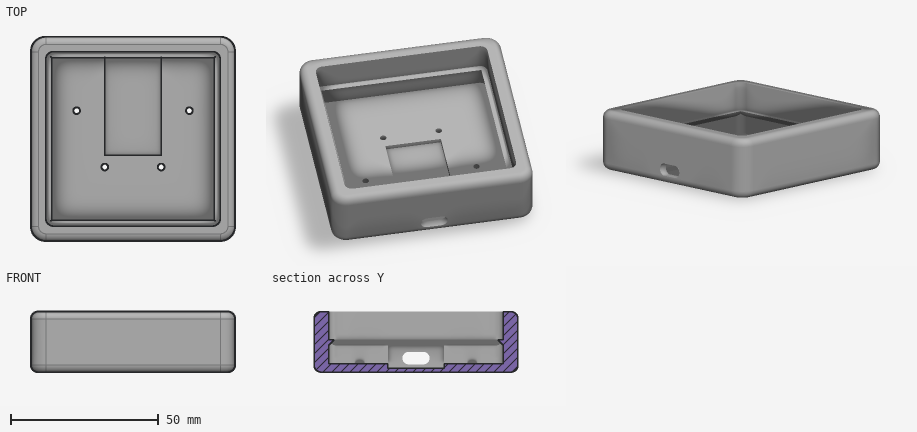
import cadquery as cq

side = 69.1
height = 20.6
corner_radius = 5.08
edge_radius = 2.54

wall = 5.08
cavity_side = side - 2 * wall
cavity_radius = 2.54
floor_z = 3.05

lip_width = 2.0
lip_top_z = 11.1
lip_opening = cavity_side - 2 * lip_width
lip_bottom_z = lip_top_z - lip_width

bay_width = 19.05
bay_floor_z = 1.5
bay_front_y = -5.5
bay_back_y = 31.75
bay_top_z = lip_bottom_z

slot_length = 9.2
slot_height = 4.2
slot_z = 4.8

hole_diameter = 2.2
hole_grid = 9.525
hole_points = [
    (-2 * hole_grid, hole_grid),
    (2 * hole_grid, hole_grid),
    (-hole_grid, -hole_grid),
    (hole_grid, -hole_grid),
]


def square_prism(width, bottom_z, top_z):
    """Square block centred on the Z axis between two heights."""
    return cq.Workplane("XY").workplane(offset=bottom_z).rect(width, width).extrude(top_z - bottom_z)


def make_body():
    block = square_prism(side, 0, height)
    return block.edges("|Z").fillet(corner_radius).faces("<Z or >Z").edges().fillet(edge_radius)


def make_lip():
    """Ring inside the cavity whose opening narrows upward to a sharp edge."""
    ring = square_prism(cavity_side, lip_bottom_z, lip_top_z)
    opening = (
        cq.Workplane("XY")
        .workplane(offset=lip_bottom_z)
        .rect(cavity_side, cavity_side)
        .workplane(offset=lip_width)
        .rect(lip_opening, lip_opening)
        .loft(ruled=True)
    )
    return ring.cut(opening)


def make_cavity():
    space = square_prism(cavity_side, floor_z, height).edges("|Z").fillet(cavity_radius)
    return space.cut(make_lip())


def make_bay():
    length = bay_back_y - bay_front_y
    return (
        cq.Workplane("XY")
        .workplane(offset=bay_floor_z)
        .center(0, (bay_back_y + bay_front_y) / 2)
        .rect(bay_width, length)
        .extrude(bay_top_z - bay_floor_z)
    )


def make_slot():
    reach = side / 2 - bay_front_y
    return (
        cq.Workplane("XZ", origin=(0, side / 2, 0))
        .center(0, slot_z)
        .slot2D(slot_length, slot_height)
        .extrude(reach)
    )


def make_holes():
    return cq.Workplane("XY").pushPoints(hole_points).circle(hole_diameter / 2).extrude(floor_z)


result = make_body().cut(make_cavity()).cut(make_bay()).cut(make_slot()).cut(make_holes())